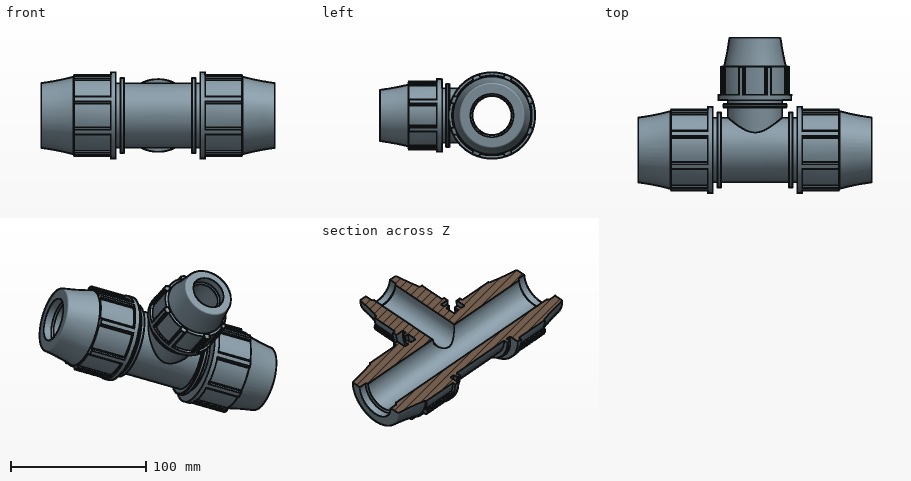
import cadquery as cq
import math

RUN_LENGTH = 173.0

RUN = {
    "reach": RUN_LENGTH / 2,
    "flange_diameter": 64.0,
    "socket_diameter": 32.0,
    "mouth_diameter": 48.4,
    "cone_diameter": 57.6,
    "cone_hollow": 0.4,
    "cone_length": 23.9,
    "barrel_end": 51.7,
    "flange_end": 55.4,
    "collar_start": 58.5,
    "collar_end": 61.7,
}
BRANCH = {
    "reach": 83.0,
    "flange_diameter": 54.0,
    "socket_diameter": 25.0,
    "mouth_diameter": 38.3,
    "cone_diameter": 45.6,
    "cone_hollow": 0.25,
    "cone_length": 20.9,
    "barrel_end": 42.3,
    "flange_end": 46.1,
    "collar_start": 48.9,
    "collar_end": 51.6,
}
ARMS = ((RUN, 0), (RUN, 180), (BRANCH, 90))

PIPE_RATIO = 0.75
COLLAR_RATIO = 0.87
BARREL_RATIO = 0.926
RIB_TOP_RATIO = 0.0525
RIB_BEVEL_RATIO = 0.0175

MOUTH_ROUNDING = 1.2
BARREL_LEAD = 0.5
COLLAR_EDGE = 0.5

RIB_COUNT = 8
RIB_ROOT_DEPTH = 1.5
RIB_END_SLANT = 0.8

SOCKET_DEPTH = 6.0
SOCKET_TAPER = 1.2
BORE_STEP_RATIO = 0.9


def arm_body(arm):
    """Solid arm of revolution about X, from the tee centre out to +X."""
    reach = arm["reach"]
    flange_radius = arm["flange_diameter"] / 2
    pipe_radius = flange_radius * PIPE_RATIO
    collar_radius = flange_radius * COLLAR_RATIO
    barrel_radius = flange_radius * BARREL_RATIO
    mouth_radius = arm["mouth_diameter"] / 2
    cone_radius = arm["cone_diameter"] / 2
    cone_start = reach - arm["cone_length"]
    flange_inner = reach - arm["flange_end"]
    flange_outer = reach - arm["barrel_end"]
    collar_inner = reach - arm["collar_end"]
    collar_outer = reach - arm["collar_start"]
    cone_end = reach - MOUTH_ROUNDING
    cone_middle = ((cone_start + cone_end) / 2, (cone_radius + mouth_radius) / 2 - arm["cone_hollow"])
    corner = MOUTH_ROUNDING * (1 - math.sqrt(0.5))
    profile = (
        cq.Workplane("XY")
        .lineTo(0, pipe_radius)
        .lineTo(collar_inner, pipe_radius)
        .lineTo(collar_inner, collar_radius - COLLAR_EDGE)
        .lineTo(collar_inner + COLLAR_EDGE, collar_radius)
        .lineTo(collar_outer - COLLAR_EDGE, collar_radius)
        .lineTo(collar_outer, collar_radius - COLLAR_EDGE)
        .lineTo(collar_outer, pipe_radius)
        .lineTo(flange_inner, pipe_radius)
        .lineTo(flange_inner, flange_radius)
        .lineTo(flange_outer, flange_radius)
        .lineTo(flange_outer, barrel_radius)
        .lineTo(cone_start - BARREL_LEAD, barrel_radius)
        .lineTo(cone_start, cone_radius)
        .threePointArc(cone_middle, (cone_end, mouth_radius))
        .threePointArc((reach - corner, mouth_radius - corner), (reach, mouth_radius - MOUTH_ROUNDING))
        .lineTo(reach, 0)
        .close()
    )
    return profile.revolve(360, (0, 0, 0), (1, 0, 0))


def arm_ribs(arm):
    """Grip ribs along the barrel: bevelled flanks, tops flush with the flange rim, slanted outer ends."""
    flange_radius = arm["flange_diameter"] / 2
    half_top = arm["flange_diameter"] * RIB_TOP_RATIO / 2
    bevel = arm["flange_diameter"] * RIB_BEVEL_RATIO
    half_foot = half_top + bevel
    root_radius = flange_radius * BARREL_RATIO - RIB_ROOT_DEPTH
    cone_radius = arm["cone_diameter"] / 2
    rib_start = arm["reach"] - arm["barrel_end"]
    cone_start = arm["reach"] - arm["cone_length"]
    section = (
        cq.Workplane("YZ")
        .workplane(offset=rib_start)
        .moveTo(-half_foot, root_radius)
        .lineTo(-half_foot, flange_radius - bevel)
        .lineTo(-half_top, flange_radius)
        .lineTo(half_top, flange_radius)
        .lineTo(half_foot, flange_radius - bevel)
        .lineTo(half_foot, root_radius)
        .close()
    )
    rib = section.extrude(cone_start - rib_start)
    envelope = (
        cq.Workplane("XY")
        .moveTo(rib_start, 0)
        .lineTo(rib_start, flange_radius)
        .lineTo(cone_start - RIB_END_SLANT, flange_radius)
        .lineTo(cone_start, cone_radius)
        .lineTo(cone_start, 0)
        .close()
        .revolve(360, (0, 0, 0), (1, 0, 0))
    )
    rib = rib.intersect(envelope)
    pitch = 360 / RIB_COUNT
    ribs = cq.Workplane("XY")
    for index in range(RIB_COUNT):
        ribs = ribs.add(rib.rotate((0, 0, 0), (1, 0, 0), (index + 0.5) * pitch))
    return ribs


def arm_bore(arm):
    """Tube socket that tapers to a narrower passage running on to the tee centre."""
    reach = arm["reach"]
    socket_radius = arm["socket_diameter"] / 2
    passage_radius = socket_radius * BORE_STEP_RATIO
    socket_floor = reach - SOCKET_DEPTH
    profile = (
        cq.Workplane("XY")
        .lineTo(0, passage_radius)
        .lineTo(socket_floor - SOCKET_TAPER, passage_radius)
        .lineTo(socket_floor, socket_radius)
        .lineTo(reach, socket_radius)
        .lineTo(reach, 0)
        .close()
    )
    return profile.revolve(360, (0, 0, 0), (1, 0, 0))


def turned(shape, angle):
    """The shape swung about the Z axis."""
    return shape.rotate((0, 0, 0), (0, 0, 1), angle)


def tee():
    """All three arms joined at the origin, then bored through."""
    solid = cq.Workplane("XY")
    for arm, angle in ARMS:
        solid = solid.union(turned(arm_body(arm), angle))
        for rib in arm_ribs(arm).vals():
            solid = solid.union(turned(cq.Workplane(rib), angle))
    for arm, angle in ARMS:
        solid = solid.cut(turned(arm_bore(arm), angle))
    return solid


result = tee()